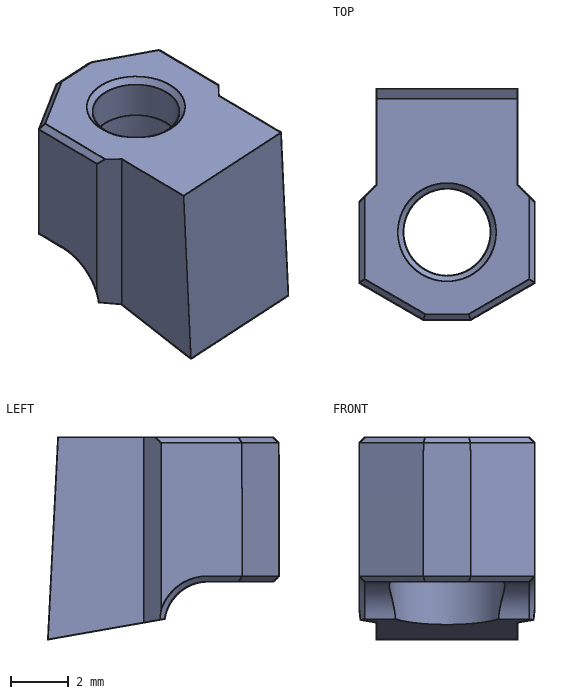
import cadquery as cq
import math

total_height = 7.0
total_length = 8.0
head_apothem = 3.04
head_height = 5.0
tail_half_width = 2.44
shoulder_start = 1.04
edge_chamfer = 0.2

lean_start_z = -2.0
nose_lean_angle = 0.3
facet_turn = 30.0

back_lean = 0.35
underside_angle = 10.0

relief_radius = 1.5
relief_center_y = -0.57

hole_diameter = 3.0
bore_diameter = 4.0
bore_ceiling_z = -1.55

front_y = -head_apothem
back_foot_y = front_y + total_length
back_top_y = back_foot_y - back_lean
facet_half_width = head_apothem * math.tan(math.radians(facet_turn / 2))
side_corner_y = -head_apothem * math.tan(math.radians(facet_turn))
shoulder_end = shoulder_start + head_apothem - tail_half_width
margin = 1.0
across_length = 2 * (head_apothem + margin)


def full_width_block():
    """Full-height block as wide as the head, with the faceted nose in front."""
    right_side = [
        (facet_half_width, front_y),
        (head_apothem, side_corner_y),
        (head_apothem, back_foot_y),
    ]
    left_side = [(-x, y) for x, y in reversed(right_side)]
    return cq.Workplane("XY").polyline(right_side + left_side).close().extrude(-total_height)


def across_width():
    """Sketch plane for side profiles, set beside the part so they extrude across it."""
    return cq.Workplane("YZ", origin=(-head_apothem - margin, 0, 0))


def relief_cutter():
    """Space under the head, rounded where it runs down into the tail."""
    arc_middle = relief_radius * math.sqrt(0.5)
    arc_center_z = -head_height - relief_radius
    arc_end_y = relief_center_y + relief_radius
    return (
        across_width()
        .moveTo(front_y - margin, -head_height)
        .lineTo(relief_center_y, -head_height)
        .threePointArc(
            (relief_center_y + arc_middle, arc_center_z + arc_middle),
            (arc_end_y, arc_center_z),
        )
        .lineTo(arc_end_y, -total_height - margin)
        .lineTo(front_y - margin, -total_height - margin)
        .close()
        .extrude(across_length)
    )


def lean_wedge(turn):
    """Thin wedge that trims the upper part of the nose facet turned this far from the front."""
    lean_depth = -lean_start_z * math.tan(math.radians(nose_lean_angle))
    wedge = (
        across_width()
        .polyline([
            (front_y, lean_start_z),
            (front_y + lean_depth, 0),
            (front_y - margin, 0),
            (front_y - margin, lean_start_z),
        ])
        .close()
        .extrude(across_length)
    )
    return wedge.rotate((0, 0, 0), (0, 0, 1), turn)


def chamfer_rims(solid):
    """Chamfer the top rim and the head's bottom rim, which carries on along the relief."""
    top_rim = solid.faces(">Z").edges("not >Y")
    bottom_rim = solid.faces("-Z").faces("<Y").edges("not >Y")
    return solid.newObject(top_rim.vals() + bottom_rim.vals()).chamfer(edge_chamfer)


def shoulder_cutter(side):
    """Material beside the tail, ending in a 45 degree shoulder; side is +1 or -1."""
    overrun = head_apothem + margin
    return (
        cq.Workplane("XY", origin=(0, 0, margin))
        .polyline([
            (side * overrun, shoulder_start - margin),
            (side * tail_half_width, shoulder_end),
            (side * tail_half_width, back_foot_y + margin),
            (side * overrun, back_foot_y + margin),
        ])
        .close()
        .extrude(-total_height - 2 * margin)
    )


def tail_limits():
    """Side outline that keeps the leaning back face and the sloping underside."""
    outline_front_y = front_y - margin
    underside_rise = (back_foot_y - outline_front_y) * math.tan(math.radians(underside_angle))
    return (
        across_width()
        .polyline([
            (outline_front_y, 0),
            (outline_front_y, -total_height + underside_rise),
            (back_foot_y, -total_height),
            (back_top_y, 0),
        ])
        .close()
        .extrude(across_length)
    )


def hole_cutter():
    """Through hole with a chamfered top rim and a wider bore from below."""
    hole_radius = hole_diameter / 2
    bore_radius = bore_diameter / 2
    return (
        cq.Workplane("XZ")
        .polyline([
            (0, 0),
            (hole_radius + edge_chamfer, 0),
            (hole_radius, -edge_chamfer),
            (hole_radius, bore_ceiling_z),
            (bore_radius, bore_ceiling_z),
            (bore_radius, -total_height),
            (0, -total_height),
        ])
        .close()
        .revolve(360, (0, 0, 0), (0, 1, 0))
    )


body = full_width_block().cut(relief_cutter())
for turn in (-facet_turn, 0, facet_turn):
    body = body.cut(lean_wedge(turn))
body = chamfer_rims(body)
for side in (-1, 1):
    body = body.cut(shoulder_cutter(side))
body = body.intersect(tail_limits())
result = body.cut(hole_cutter())